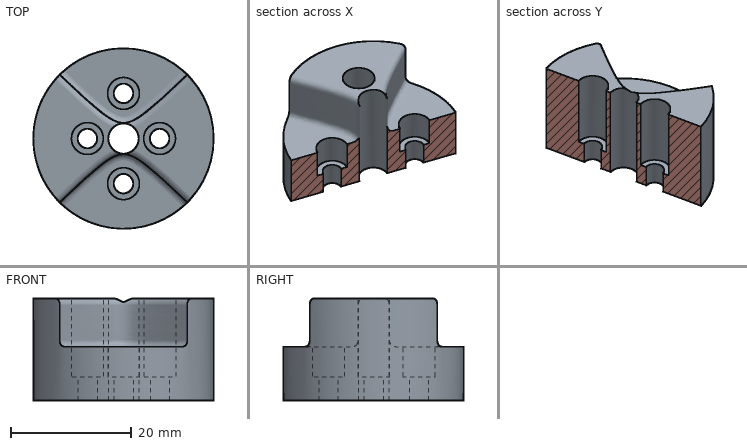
import cadquery as cq
import math

outer_diameter = 30.0
total_height = 17.0
floor_height = 9.0

wall_gap = 2.6
wall_nose_radius = 3.0
wall_fillet = 1.0

bore_diameter = 5.0
screw_hole_diameter = 3.2
counterbore_diameter = 5.3
counterbore_floor = 4.0
screw_offset_x = 6.0
screw_offset_y = 7.5

blank_margin = 5.0
wall_steps = 16

outer_radius = outer_diameter / 2
blank_half_x = outer_radius + blank_margin
blank_half_y = blank_half_x + blank_margin


def wall_y(x):
    """Wall line: a rectangular hyperbola, rounded at x = 0 and tending to 45 degrees."""
    return wall_gap - wall_nose_radius + math.hypot(wall_nose_radius, x)


def recess_cutter():
    """Material above the recessed sector on the +Y side."""
    steps = range(-wall_steps, wall_steps + 1)
    stations = [blank_half_y * step / wall_steps for step in steps]
    wall_points = [(x, wall_y(x)) for x in stations]
    back_y = 2 * blank_half_y
    return (
        cq.Workplane("XY", origin=(0, 0, floor_height))
        .moveTo(*wall_points[0])
        .spline(wall_points[1:], includeCurrent=True)
        .lineTo(blank_half_y, back_y)
        .lineTo(-blank_half_y, back_y)
        .close()
        .extrude(total_height)
    )


def make_body():
    """Round body with two raised sectors between filleted hyperbolic walls."""
    blank = cq.Workplane("XY").box(
        2 * blank_half_x, 2 * blank_half_y, total_height, centered=(True, True, False)
    )
    cutter = recess_cutter()
    blank = blank.cut(cutter).cut(cutter.mirror("XZ"))
    blank = blank.edges("%BSPLINE").edges(">Z or <Z").fillet(wall_fillet)
    return blank.intersect(cq.Workplane("XY").circle(outer_radius).extrude(total_height))


def vertical_holes(points, diameter, bottom):
    """Round cutters at the given points, from the bottom level up past the top."""
    return (
        cq.Workplane("XY", origin=(0, 0, bottom))
        .pushPoints(points)
        .circle(diameter / 2)
        .extrude(total_height)
    )


screw_points = [
    (screw_offset_x, 0),
    (-screw_offset_x, 0),
    (0, screw_offset_y),
    (0, -screw_offset_y),
]

result = (
    make_body()
    .cut(vertical_holes([(0, 0)], bore_diameter, 0))
    .cut(vertical_holes(screw_points, screw_hole_diameter, 0))
    .cut(vertical_holes(screw_points, counterbore_diameter, counterbore_floor))
)